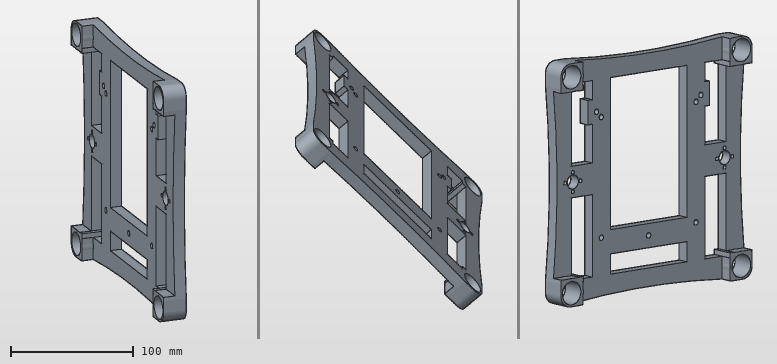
import cadquery as cq

side = 201.7
half = side / 2
block_depth = 20.0
plate_thickness = block_depth / 2
corner_radius = 10.0
straight_length = 20.0
side_sag = 4.0

block_side = 23.5
corner_pad_proud = 0.2
tube_bore_diameter = 19.4
tube_wall = 2.6
tube_position = 89.5

window_outer = 81.5
center_window_half_width = 40.1
center_window_bottom = -44.5
lower_window_top = -64.8
side_window_inner_x = 59.5
cross_bar_half_height = 13.1

tab_width = 4.6
tab_bottom = 45.2
tab_top = 65.5

mount_hole_diameter = 4.5
mount_hole_position = 50.0
extra_hole_position = 55.0
center_hole_z = -54.5

motor_x = 80.0
motor_bore_diameter = 11.7
motor_screw_diameter = 3.0
motor_screw_offset = 8.0


def box(x_limits, z_limits, depth):
    """Box between two X limits and two Z limits, its back on the Y=0 plane."""
    x_low, x_high = sorted(x_limits)
    z_low, z_high = sorted(z_limits)
    size = (x_high - x_low, depth, z_high - z_low)
    return cq.Workplane("XY").box(*size, centered=False).translate((x_low, -depth, z_low))


def cylinders(points, diameter):
    """Cylinders along Y over the full depth at the given X, Z points."""
    return cq.Workplane("XZ").pushPoints(points).circle(diameter / 2).extrude(block_depth)


def make_outline():
    """Full-depth square with rounded corners and inward-bowed sides."""
    curve_end = half - straight_length
    waist = half - side_sag
    outline = (
        cq.Workplane("XZ")
        .moveTo(-half, half)
        .lineTo(-curve_end, half)
        .threePointArc((0, waist), (curve_end, half))
        .lineTo(half, half)
        .lineTo(half, curve_end)
        .threePointArc((waist, 0), (half, -curve_end))
        .lineTo(half, -half)
        .lineTo(curve_end, -half)
        .threePointArc((0, -waist), (-curve_end, -half))
        .lineTo(-half, -half)
        .lineTo(-half, -curve_end)
        .threePointArc((-waist, 0), (-half, curve_end))
        .close()
        .extrude(block_depth)
    )
    reach = corner_radius / 2
    for x in (-half, half):
        for z in (-half, half):
            low_point = (x - reach, -block_depth, z - reach)
            high_point = (x + reach, 0, z + reach)
            at_corner = cq.selectors.BoxSelector(low_point, high_point)
            outline = outline.edges("|Y").edges(at_corner).fillet(corner_radius)
    return outline


def make_plate():
    """Thin plate pierced by the windows, with the tabs left standing."""
    plate = box((-half, half), (-half, half), plate_thickness)
    center_x = (-center_window_half_width, center_window_half_width)
    plate = plate.cut(box(center_x, (center_window_bottom, window_outer), plate_thickness))
    plate = plate.cut(box(center_x, (-window_outer, lower_window_top), plate_thickness))
    for x_sign in (-1, 1):
        window_x = (x_sign * side_window_inner_x, x_sign * window_outer)
        for z_sign in (-1, 1):
            window_z = (z_sign * cross_bar_half_height, z_sign * window_outer)
            plate = plate.cut(box(window_x, window_z, plate_thickness))
        tab_x = (x_sign * side_window_inner_x, x_sign * (side_window_inner_x + tab_width))
        plate = plate.union(box(tab_x, (tab_bottom, tab_top), plate_thickness))
    return plate


def make_corner_block(x_sign, z_sign):
    """Square block, a raised pad on its inner corner and the tube wall around the bore."""
    inner_face = half - block_side
    block_x = (x_sign * inner_face, x_sign * half)
    block_z = (z_sign * inner_face, z_sign * half)
    block = box(block_x, block_z, block_depth)
    pad_face = inner_face - corner_pad_proud
    pad_x = (x_sign * pad_face, x_sign * window_outer)
    pad_z = (z_sign * pad_face, z_sign * window_outer)
    block = block.union(box(pad_x, pad_z, block_depth))
    tube_center = (x_sign * tube_position, z_sign * tube_position)
    return block.union(cylinders([tube_center], tube_bore_diameter + 2 * tube_wall))


def square_points(position):
    """The four X, Z points at the given distance from both axes."""
    return [(x, z) for x in (-position, position) for z in (-position, position)]


frame = make_plate()
for x_sign in (-1, 1):
    for z_sign in (-1, 1):
        frame = frame.union(make_corner_block(x_sign, z_sign))
frame = frame.intersect(make_outline())

frame = frame.cut(cylinders(square_points(tube_position), tube_bore_diameter))
mount_points = square_points(mount_hole_position) + [
    (-extra_hole_position, extra_hole_position),
    (extra_hole_position, extra_hole_position),
    (0, center_hole_z),
]
frame = frame.cut(cylinders(mount_points, mount_hole_diameter))

for x in (-motor_x, motor_x):
    screw_points = [
        (x - motor_screw_offset, 0),
        (x + motor_screw_offset, 0),
        (x, -motor_screw_offset),
        (x, motor_screw_offset),
    ]
    frame = frame.cut(cylinders([(x, 0)], motor_bore_diameter))
    frame = frame.cut(cylinders(screw_points, motor_screw_diameter))

result = frame